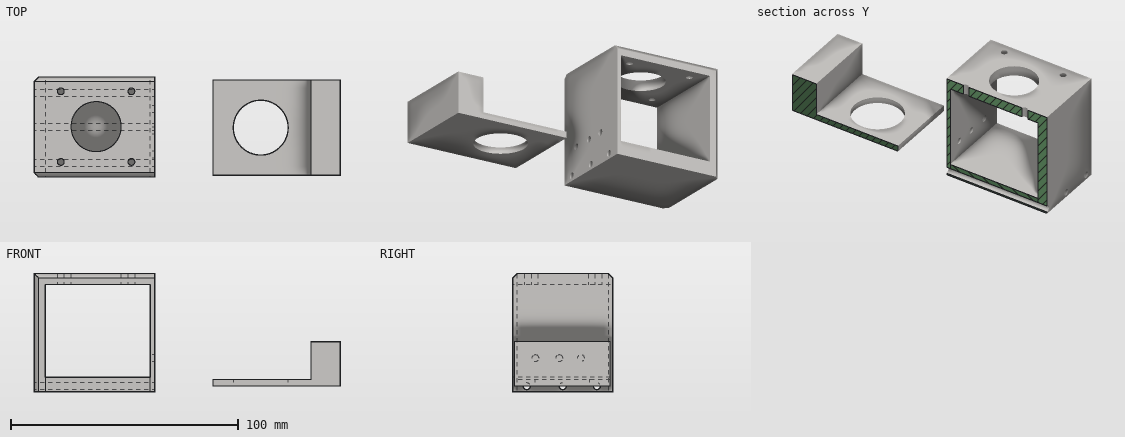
import cadquery as cq

housing_length = 53.0
housing_depth = 44.0
housing_height = 52.0
left_wall = 5.0
right_wall = 2.0
roof = 5.0
edge_chamfer = 2.0
opening_width = housing_length - left_wall - right_wall
opening_height = housing_height - roof

motor_x = 27.25
motor_bore = 22.0
motor_y = 0.2
motor_screw_spacing = 31.0
motor_screw_hole = 3.0

cross_hole = 3.0
cross_hole_z = 2.5
cross_hole_ys = [-15.8, 0.0, 15.0]

wall_hole = 3.0
wall_hole_z = 14.8
wall_hole_ys = [-12.0, -1.5, 8.0]

floor_thickness = 6.5

bracket_gap = 25.51
bracket_length = 56.0
bracket_depth = 42.0
bracket_height = 19.5
bracket_z = 2.5
bracket_plate = 3.0
block_length = 13.0
bracket_bore = 24.0
bracket_bore_x = bracket_depth / 2
bracket_y = -0.25


def box(x, y, z, length, depth, height):
    """Box with its left face at x, its bottom at z and its depth centred on y."""
    block = cq.Workplane("XY").box(length, depth, height, centered=(False, True, False))
    return block.translate((x, y, z))


def x_holes(diameter, x, length, ys, z):
    """Row of cylinders along X, starting at x, at the given Y places."""
    return (
        cq.Workplane("YZ", origin=(x, 0, z))
        .pushPoints([(y, 0) for y in ys])
        .circle(diameter / 2)
        .extrude(length)
    )


def cross_holes():
    """Holes that run through both walls and the floor plate."""
    return x_holes(cross_hole, 0, housing_length, cross_hole_ys, cross_hole_z)


def make_housing():
    shell = box(0, 0, 0, housing_length, housing_depth, housing_height)
    shell = shell.edges("(<X and |Z) or (>Z and |X)").chamfer(edge_chamfer)
    shell = shell.cut(box(left_wall, 0, 0, opening_width, housing_depth, opening_height))

    roof_top = cq.Workplane("XY", origin=(motor_x, motor_y, housing_height))
    bore = roof_top.circle(motor_bore / 2).extrude(-roof)
    screw_holes = (
        roof_top.rect(motor_screw_spacing, motor_screw_spacing, forConstruction=True)
        .vertices()
        .circle(motor_screw_hole / 2)
        .extrude(-roof)
    )
    wall_holes = x_holes(wall_hole, housing_length - right_wall, right_wall, wall_hole_ys, wall_hole_z)
    return shell.cut(bore).cut(screw_holes).cut(cross_holes()).cut(wall_holes)


def make_floor():
    plate = box(left_wall, 0, 0, opening_width, housing_depth, floor_thickness)
    return plate.cut(cross_holes())


def make_bracket():
    left = housing_length + bracket_gap
    block_x = left + bracket_length - block_length
    plate = box(left, bracket_y, bracket_z, bracket_length, bracket_depth, bracket_plate)
    block = box(block_x, bracket_y, bracket_z, block_length, bracket_depth, bracket_height)
    bore = (
        cq.Workplane("XY", origin=(left + bracket_bore_x, bracket_y, bracket_z))
        .circle(bracket_bore / 2)
        .extrude(bracket_plate)
    )
    return plate.union(block).cut(bore)


housing = make_housing()
floor = make_floor()
bracket = make_bracket()

result = cq.Compound.makeCompound([housing.val(), floor.val(), bracket.val()])